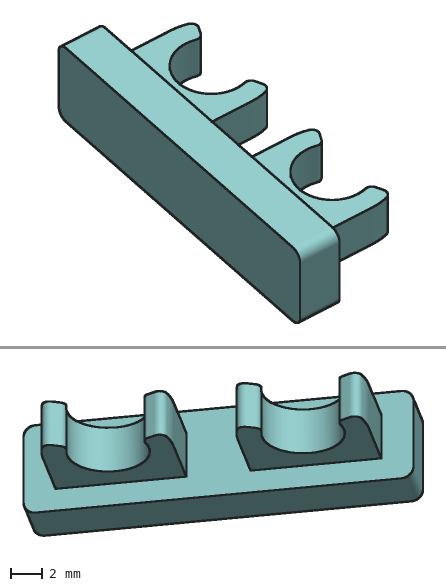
import cadquery as cq
import math

plate_length = 25.4
plate_depth = 3.18
plate_height = 6.35
plate_corner_radius = 0.8

clip_spacing = plate_length / 2
clip_thickness = plate_height / 2
bore_radius = 2.67
wall = clip_thickness / 2
clip_radius = bore_radius + wall
bore_center_y = plate_depth + clip_radius
tip_angle = math.radians(25)
tip_fillet = 0.5


def make_plate():
    plate = cq.Workplane("XY").box(plate_length, plate_depth, plate_height, centered=(True, False, True))
    return plate.edges("|Y").fillet(plate_corner_radius)


def polar(radius, angle):
    """Point relative to the bore centre."""
    return (radius * math.cos(angle), radius * math.sin(angle))


def make_clip(center_x):
    """C-shaped clip opening towards +Y, with rounded arm tips."""
    right = tip_angle
    left = math.pi - tip_angle
    clip = (
        cq.Workplane("XY", origin=(center_x, bore_center_y, -clip_thickness / 2))
        .moveTo(-clip_radius, -clip_radius)
        .lineTo(clip_radius, -clip_radius)
        .lineTo(clip_radius, 0)
        .threePointArc(polar(clip_radius, tip_angle / 2), polar(clip_radius, right))
        .lineTo(*polar(bore_radius, right))
        .threePointArc((0, -bore_radius), polar(bore_radius, left))
        .lineTo(*polar(clip_radius, left))
        .threePointArc(polar(clip_radius, math.pi - tip_angle / 2), (-clip_radius, 0))
        .close()
        .extrude(clip_thickness)
    )
    return clip.edges("|Z").edges(cq.selectors.BoxSelector(
        (center_x - plate_length, bore_center_y + tip_fillet, -plate_height),
        (center_x + plate_length, bore_center_y + clip_radius, plate_height),
    )).fillet(tip_fillet)


result = make_plate()
for side in (-1, 1):
    result = result.union(make_clip(side * clip_spacing / 2))